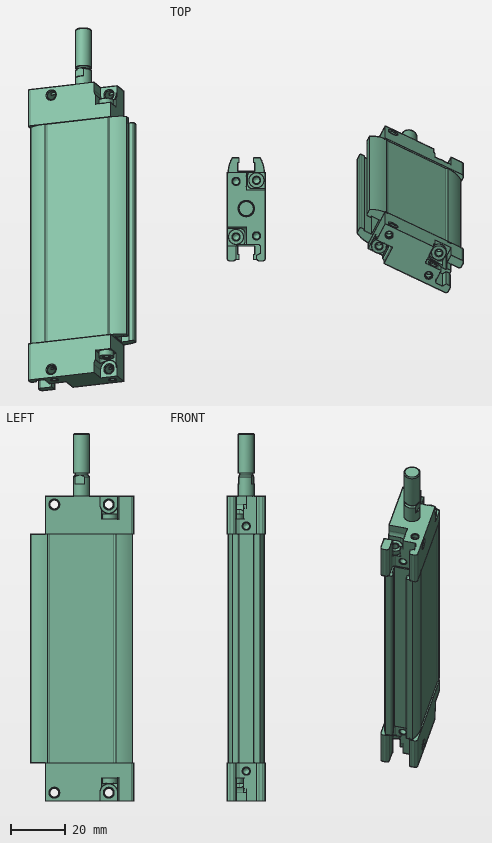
import cadquery as cq
import math


cap_height = 14.0
tube_length = 84.0
rod_projection = 23.0
body_length = tube_length + 2 * cap_height

tube_half_depth = 18.75
crown_half_width = 5.1
bulge_half_width = 6.7
bulge_end_y = 12.6
side_flat_half_width = 6.45
side_flat_end_y = 11.8
crown_sagitta = 0.45
tube_slot_floor_y = 13.8
tube_slot_half_width = 3.1
lip_half_gap = 2.6
lip_thickness = 1.9
lip_rounding = 0.45

cap_half_width = 7.0
cap_back_y = 13.25
cap_front_y = -19.25
cap_slot_floor_y = -13.25
cap_slot_half_width = 3.8
slot_corner_radius = 1.1
prong_rounding = 0.95
undercut_half_width = 5.2
undercut_corner = 0.5
undercut_end_y = -16.4
undercut_taper_end_y = -17.2

cross_hole_pitch = 20.0
cross_hole_diameter = 3.24
cross_hole_mouth_diameter = 4.0
cross_hole_depth = 3.1
small_thread_diameter = 2.46
small_thread_mouth_diameter = 3.0
small_thread_depth = 5.0
drill_point_angle = 118.0
end_thread_x = 3.75
port_height = 3.0

spotface_radius = 3.25
pocket_depth = 8.5
pocket_inner_x = 0.4
pocket_y = 10.55
pocket_half_width = 3.25
pocket_corner_radius = 2.0
bolt_x = 3.75
bolt_y = 10.4
bolt_head_diameter = 5.5
bolt_head_height = 2.0

rod_diameter = 6.0
groove_diameter = 4.8
groove_start = 7.7
groove_end = 8.4
groove_cone_start = 7.1
tip_chamfer = 0.4
flats_across = 4.8
flats_start = 4.4
flats_angle = -15.0


def make_tube():
    side_length = tube_half_depth - bulge_end_y
    side_width = bulge_half_width - crown_half_width
    chord = math.hypot(side_length, side_width)
    bow_x = (crown_half_width + bulge_half_width) / 2 + crown_sagitta * side_length / chord
    bow_y = (tube_half_depth + bulge_end_y) / 2 + crown_sagitta * side_width / chord
    quarter = (
        cq.Workplane("XY", origin=(0, 0, cap_height))
        .lineTo(side_flat_half_width, 0)
        .lineTo(side_flat_half_width, side_flat_end_y)
        .lineTo(bulge_half_width, bulge_end_y)
        .threePointArc((bow_x, bow_y), (crown_half_width, tube_half_depth))
        .lineTo(lip_half_gap + lip_rounding, tube_half_depth)
        .radiusArc((lip_half_gap, tube_half_depth - lip_rounding), -lip_rounding)
        .lineTo(lip_half_gap, tube_half_depth - lip_thickness)
        .lineTo(tube_slot_half_width, tube_half_depth - lip_thickness)
        .lineTo(tube_slot_half_width, tube_slot_floor_y)
        .lineTo(0, tube_slot_floor_y)
        .close()
        .extrude(tube_length)
    )
    half = quarter.union(quarter.mirror("YZ"))
    return half.union(half.mirror("XZ")).clean()


def cap_profile_body():
    """Cap block with the front slot, whose +X wall is undercut; the tube side is at Z = 0."""
    block = (
        cq.Workplane("XY")
        .moveTo(-cap_half_width, cap_back_y)
        .lineTo(cap_half_width, cap_back_y)
        .lineTo(cap_half_width, cap_front_y)
        .lineTo(cap_slot_half_width, cap_front_y)
        .lineTo(cap_slot_half_width, undercut_taper_end_y)
        .lineTo(undercut_half_width, undercut_end_y)
        .lineTo(undercut_half_width, cap_slot_floor_y - undercut_corner)
        .lineTo(undercut_half_width - undercut_corner, cap_slot_floor_y)
        .lineTo(-cap_slot_half_width + slot_corner_radius, cap_slot_floor_y)
        .radiusArc((-cap_slot_half_width, cap_slot_floor_y - slot_corner_radius), -slot_corner_radius)
        .lineTo(-cap_slot_half_width, cap_front_y)
        .lineTo(-cap_half_width, cap_front_y)
        .close()
        .extrude(cap_height)
    )
    return block.edges("|Z and <Y").fillet(prong_rounding)


def drilled_hole(start, direction):
    """Blind threaded hole with a chamfered mouth and a drill point."""
    radius = small_thread_diameter / 2
    mouth_radius = small_thread_mouth_diameter / 2
    point_length = radius / math.tan(math.radians(drill_point_angle / 2))
    profile = (
        cq.Workplane("XZ")
        .lineTo(mouth_radius, 0)
        .lineTo(radius, mouth_radius - radius)
        .lineTo(radius, small_thread_depth)
        .lineTo(0, small_thread_depth + point_length)
        .close()
        .revolve(360, (0, 0), (0, 1))
    )
    plane = cq.Plane(origin=start, xDir=(1, 0, 0), normal=direction)
    return cq.Workplane(profile.val().moved(cq.Location(plane)))


def corner_notch():
    """Clearance at the -X, -Y corner: a round-bottomed spotface and a pocket that leaves the bolt head."""
    hole_y = -cross_hole_pitch / 2
    hole_z = cap_height - cross_hole_depth
    spotface = (
        cq.Workplane("YZ")
        .moveTo(hole_y - spotface_radius, cap_height)
        .lineTo(hole_y - spotface_radius, hole_z)
        .threePointArc((hole_y, hole_z - spotface_radius), (hole_y + spotface_radius, hole_z))
        .lineTo(hole_y + spotface_radius, cap_height)
        .close()
        .extrude(-cap_half_width)
    )
    pocket_length = cap_half_width - pocket_inner_x
    pocket_floor = cap_height - pocket_depth
    pocket = (
        cq.Workplane("XY", origin=(-cap_half_width + pocket_length / 2, -pocket_y, pocket_floor))
        .rect(pocket_length, 2 * pocket_half_width)
        .extrude(pocket_depth)
        .edges("|Z and >X")
        .fillet(pocket_corner_radius)
    )
    bolt_head = (
        cq.Workplane("XY", origin=(-bolt_x, -bolt_y, pocket_floor))
        .circle(bolt_head_diameter / 2)
        .extrude(bolt_head_height)
    )
    return spotface.union(pocket).cut(bolt_head)


def cross_hole():
    """Through hole along X at the -Y side, chamfered at the spotface and at the +X side."""
    hole_y = -cross_hole_pitch / 2
    hole_z = cap_height - cross_hole_depth
    radius = cross_hole_diameter / 2
    mouth_radius = cross_hole_mouth_diameter / 2
    mouth_chamfer = mouth_radius - radius
    return (
        cq.Workplane("XY", origin=(0, hole_y, hole_z))
        .lineTo(0, mouth_radius)
        .lineTo(mouth_chamfer, radius)
        .lineTo(cap_half_width - mouth_chamfer, radius)
        .lineTo(cap_half_width, mouth_radius)
        .lineTo(cap_half_width, 0)
        .close()
        .revolve(360, (0, 0), (1, 0))
    )


def make_cap():
    """Cap with its tube side at Z = 0 and its end face at Z = cap_height."""
    cap = cap_profile_body()
    bolt_head_top = cap_height - pocket_depth + bolt_head_height
    for turn in (0, 180):
        corner_cuts = [
            corner_notch(),
            cross_hole(),
            drilled_hole((-bolt_x, -bolt_y, bolt_head_top), (0, 0, -1)),
            drilled_hole((end_thread_x, -cross_hole_pitch / 2, cap_height), (0, 0, -1)),
        ]
        for corner_cut in corner_cuts:
            cap = cap.cut(corner_cut.rotate((0, 0, 0), (0, 0, 1), turn))
    return cap.cut(drilled_hole((0, cap_slot_floor_y, port_height), (0, 1, 0)))


def make_rod():
    """Rod with its thread, relief groove and wrench flats; its lower end meets the tube."""
    radius = rod_diameter / 2
    groove_radius = groove_diameter / 2
    rod = (
        cq.Workplane("XZ", origin=(0, 0, body_length))
        .moveTo(0, -cap_height)
        .lineTo(radius, -cap_height)
        .lineTo(radius, groove_cone_start)
        .lineTo(groove_radius, groove_start)
        .lineTo(groove_radius, groove_end)
        .lineTo(radius, groove_end)
        .lineTo(radius, rod_projection - tip_chamfer)
        .lineTo(radius - tip_chamfer, rod_projection)
        .lineTo(0, rod_projection)
        .close()
        .revolve(360, (0, 0), (0, 1))
    )
    flats_height = groove_end - flats_start
    flat_cutters = (
        cq.Workplane("XY", origin=(0, 0, body_length + flats_start))
        .rect(2 * rod_diameter, 2 * rod_diameter)
        .rect(flats_across, 2 * rod_diameter)
        .extrude(flats_height)
        .rotate((0, 0, 0), (0, 0, 1), flats_angle)
    )
    return rod.cut(flat_cutters)


tube = make_tube()
cap = make_cap()
bottom_cap = cap.mirror("XY").translate((0, 0, cap_height))
rod_bore = cq.Workplane("XY").circle(rod_diameter / 2).extrude(cap_height)
top_cap = cap.cut(rod_bore).translate((0, 0, body_length - cap_height))
rod = make_rod()

result = cq.Compound.makeCompound([tube.val(), bottom_cap.val(), top_cap.val(), rod.val()])